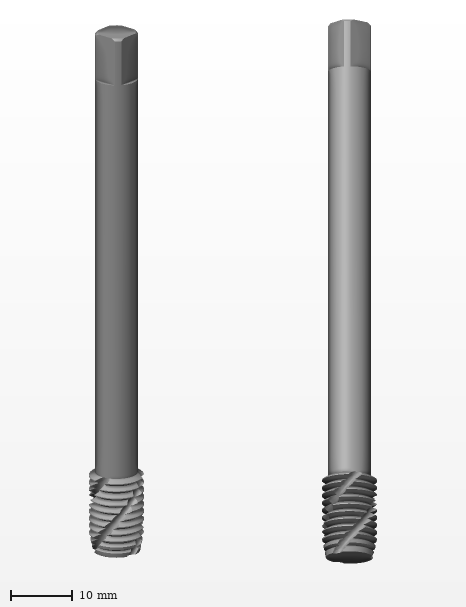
import cadquery as cq
import math

total_length = 90.0
thread_diameter = 9.0

shank_diameter = 7.0
square_width = 5.7
square_length = 8.0
end_chamfer = 0.4

head_length = 13.6
ridges_per_span = 9
ridge_span = 11.25
thread_pitch = ridge_span / ridges_per_span
crest_flat = thread_pitch / 8
flank_half_angle = 30.0
lead_end_diameter = 7.7
lead_length = 3.15

flute_count = 3
flute_radius = 1.1
flute_core_radius = 3.3
flute_lead = math.pi * thread_diameter
flute_start_angle = -11.0


def make_cylinder(diameter, bottom, top):
    return cq.Workplane("XY", origin=(0, 0, bottom)).circle(diameter / 2).extrude(top - bottom)


def revolve_about_z(profile):
    """Turn a closed outline of (radius, z) points about the Z axis."""
    return cq.Workplane("XZ").polyline(profile).close().revolve(360, (0, 0, 0), (0, 1, 0))


def make_shank():
    """Round shank with a chamfered end, milled to a square whose corners stay round."""
    square_bottom = total_length - square_length
    shank = make_cylinder(shank_diameter, head_length, total_length)
    shank = shank.faces(">Z").chamfer(end_chamfer)

    surround = make_cylinder(2 * shank_diameter, square_bottom, total_length)
    square_bar = (
        cq.Workplane("XY", origin=(0, 0, square_bottom))
        .rect(square_width, square_width)
        .extrude(square_length)
    )
    return shank.cut(surround.cut(square_bar))


def make_ridges():
    """Ring-shaped thread ridges with flat crests and sharp roots, down past z = 0."""
    crest_radius = thread_diameter / 2
    flank_height = (thread_pitch - crest_flat) / 2
    root_radius = crest_radius - flank_height / math.tan(math.radians(flank_half_angle))
    ridge_count = math.ceil(head_length / thread_pitch)

    profile = [(0, head_length), (root_radius, head_length)]
    for ridge in range(ridge_count):
        ridge_top = head_length - ridge * thread_pitch
        profile.append((crest_radius, ridge_top - flank_height))
        profile.append((crest_radius, ridge_top - flank_height - crest_flat))
        profile.append((root_radius, ridge_top - thread_pitch))
    profile.append((0, head_length - ridge_count * thread_pitch))
    return revolve_about_z(profile)


def make_lead_envelope():
    """Outer limit of the head: a cylinder that tapers towards its lower end."""
    return revolve_about_z([
        (0, 0),
        (lead_end_diameter / 2, 0),
        (thread_diameter / 2, lead_length),
        (thread_diameter / 2, head_length),
        (0, head_length),
    ])


def make_flute_cutter(start_angle):
    """Circle beside the core, twisted up the whole head from the given angle at z = 0."""
    centre_radius = flute_core_radius + flute_radius
    angle = math.radians(start_angle)
    twist = 360 * head_length / flute_lead
    return (
        cq.Workplane("XY")
        .moveTo(centre_radius * math.cos(angle), centre_radius * math.sin(angle))
        .circle(flute_radius)
        .twistExtrude(head_length, twist)
    )


def make_cutting_head():
    head = make_ridges().intersect(make_lead_envelope())
    for flute in range(flute_count):
        head = head.cut(make_flute_cutter(flute_start_angle + flute * 360 / flute_count))
    return head


shank = make_shank()
cutting_head = make_cutting_head()

result = cq.Compound.makeCompound([shank.solids().val(), cutting_head.solids().val()])